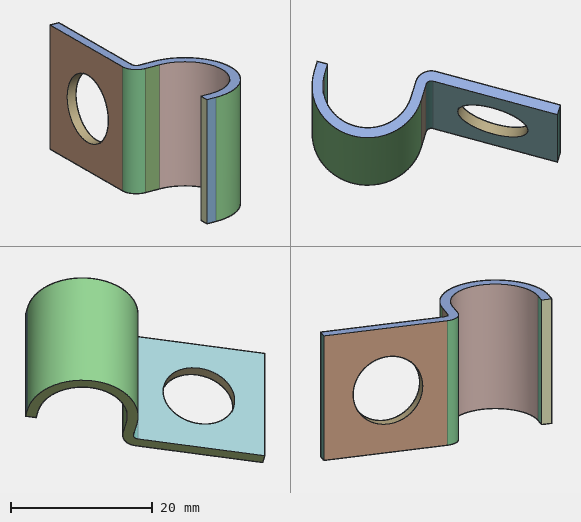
import cadquery as cq

length = 34.85
depth = 12.6
width = 19.05
thickness = 1.55

saddle_outer_radius = 7.88
saddle_inner_radius = saddle_outer_radius - thickness
free_leg_length = 1.57

bend_inner_radius = 0.75
bend_outer_radius = bend_inner_radius + thickness

hole_diameter = 10.3
hole_from_tab_end = 9.5

saddle_x = length - saddle_outer_radius
saddle_y = depth - saddle_outer_radius
leg_left = saddle_x - saddle_outer_radius
leg_right = leg_left + thickness
bend_x = leg_right - bend_outer_radius
bend_y = bend_outer_radius
free_leg_y = saddle_y - free_leg_length


def bent_strip():
    """Strip profile in the XY plane, extruded across the width."""
    return (
        cq.Workplane("XY")
        .moveTo(0, 0)
        .lineTo(bend_x, 0)
        .radiusArc((leg_right, bend_y), -bend_outer_radius)
        .lineTo(leg_right, saddle_y)
        .threePointArc(
            (saddle_x, saddle_y + saddle_inner_radius),
            (saddle_x + saddle_inner_radius, saddle_y),
        )
        .lineTo(saddle_x + saddle_inner_radius, free_leg_y)
        .lineTo(length, free_leg_y)
        .lineTo(length, saddle_y)
        .threePointArc((saddle_x, depth), (leg_left, saddle_y))
        .lineTo(leg_left, bend_y)
        .radiusArc((bend_x, thickness), bend_inner_radius)
        .lineTo(0, thickness)
        .close()
        .extrude(width)
    )


def fixing_hole():
    """Cylinder through the tab, centred across the width."""
    return (
        cq.Workplane("XZ")
        .center(hole_from_tab_end, width / 2)
        .circle(hole_diameter / 2)
        .extrude(-thickness)
    )


result = bent_strip().cut(fixing_hole())